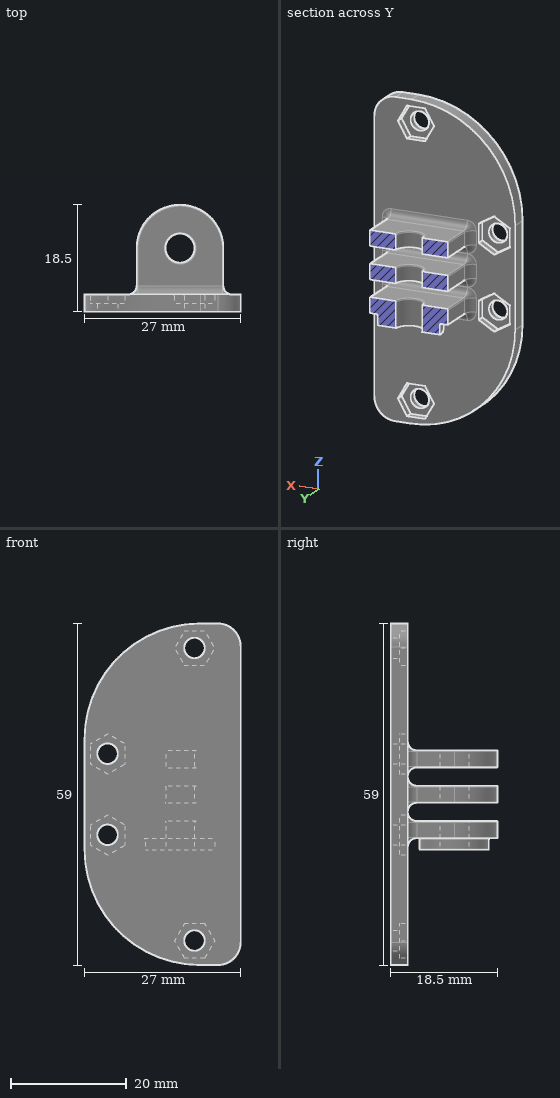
import cadquery as cq
import math

plate_width = 27.0
plate_height = 59.0
plate_thickness = 3.0
large_corner_radius = 20.0
small_corner_radius = 4.0

screw_diameter = 3.5
side_screw_x = 4.0
side_screw_spacing = 14.0
end_screw_x = 19.0
end_screw_spacing = 50.5
nut_across_flats = 6.0
nut_pocket_depth = 1.5

prong_count = 3
prong_thickness = 3.0
prong_pitch = 6.1
prong_radius = 7.5
prong_root_fillet = 1.5
hinge_x = 16.5
hinge_y = 11.0
pin_diameter = 5.0

boss_diameter = 12.0
boss_height = 2.0

edge_rounding = 0.2

selection_margin = 0.1

top_edge = plate_height / 2
hex_sides = 6
hex_half_sector = 180 / hex_sides
nut_across_corners = nut_across_flats / math.cos(math.radians(hex_half_sector))
prongs_half_span = (prong_count - 1) / 2 * prong_pitch
hinge_top = prongs_half_span + prong_thickness / 2
hinge_bottom = -hinge_top


def box_around(low_corner, high_corner):
    """Selector for the edges centred in a box slightly larger than the two corners."""
    return cq.selectors.BoxSelector(
        tuple(value - selection_margin for value in low_corner),
        tuple(value + selection_margin for value in high_corner),
    )


def make_plate():
    """D-shaped plate with large corners on the left and small ones on the right."""
    plate = cq.Workplane("XY").box(
        plate_width, plate_thickness, plate_height, centered=(False, False, True)
    )
    for x, radius in ((0, large_corner_radius), (plate_width, small_corner_radius)):
        for z in (-top_edge, top_edge):
            corner = box_around((x, 0, z), (x, plate_thickness, z))
            plate = plate.edges(corner).fillet(radius)
    return plate


def make_prong(center_z):
    """U-shaped prong with a pin hole; all its edges but the root ones are rounded."""
    bottom_z = center_z - prong_thickness / 2
    top_z = center_z + prong_thickness / 2
    prong = (
        cq.Workplane("XY", origin=(hinge_x, 0, bottom_z))
        .moveTo(-prong_radius, plate_thickness)
        .lineTo(-prong_radius, hinge_y)
        .threePointArc((0, hinge_y + prong_radius), (prong_radius, hinge_y))
        .lineTo(prong_radius, plate_thickness)
        .close()
        .moveTo(0, hinge_y)
        .circle(pin_diameter / 2)
        .extrude(prong_thickness)
    )
    beyond_root = box_around(
        (hinge_x - prong_radius, plate_thickness + 2 * selection_margin, bottom_z),
        (hinge_x + prong_radius, hinge_y + prong_radius, top_z),
    )
    return prong.faces("|Z").edges(beyond_root).fillet(edge_rounding)


def make_hinge_plate():
    """Plate joined to its prongs by concave root fillets."""
    body = make_plate()
    for index in range(prong_count):
        body = body.union(make_prong(index * prong_pitch - prongs_half_span))
    prong_roots = box_around(
        (hinge_x - prong_radius, plate_thickness, hinge_bottom),
        (hinge_x + prong_radius, plate_thickness, hinge_top),
    )
    return body.edges(prong_roots).fillet(prong_root_fillet)


def add_boss(body):
    """Add the boss on the pin axis, blended into the prong and rounded at its free end.

    It reaches into the prong to fill the rounded pin hole rim that it covers.
    """
    boss_overlap = prong_thickness / 2
    boss = (
        cq.Workplane("XY", origin=(hinge_x, hinge_y, hinge_bottom + boss_overlap))
        .circle(boss_diameter / 2)
        .extrude(-(boss_overlap + boss_height))
        .faces("<Z")
        .edges()
        .fillet(edge_rounding)
    )
    body = body.union(boss)
    boss_foot = (hinge_x, hinge_y, hinge_bottom)
    boss_root = body.edges("%CIRCLE").edges(box_around(boss_foot, boss_foot))
    return boss_root.fillet(edge_rounding)


def make_boss_pin_hole():
    """Pin hole through the boss and the prong it stands on."""
    return (
        cq.Workplane("XY", origin=(hinge_x, hinge_y, hinge_bottom - boss_height))
        .circle(pin_diameter / 2)
        .extrude(boss_height + prong_thickness)
    )


def make_screw_cutter(x, z, flat_direction):
    """Screw hole and nut pocket; one pocket flat faces flat_direction, in degrees from X."""
    hole = (
        cq.Workplane("XZ", origin=(x, 0, z))
        .circle(screw_diameter / 2)
        .extrude(-plate_thickness)
    )
    pocket = (
        cq.Workplane("XZ", origin=(x, plate_thickness - nut_pocket_depth, z))
        .transformed(rotate=(0, 0, flat_direction + hex_half_sector))
        .polygon(hex_sides, nut_across_corners)
        .extrude(-nut_pocket_depth)
    )
    return hole.union(pocket)


result = add_boss(make_hinge_plate()).cut(make_boss_pin_hole())
for side in (-1, 1):
    side_screw = make_screw_cutter(side_screw_x, side * side_screw_spacing / 2, 0)
    end_screw = make_screw_cutter(end_screw_x, side * end_screw_spacing / 2, 90)
    result = result.cut(side_screw).cut(end_screw)